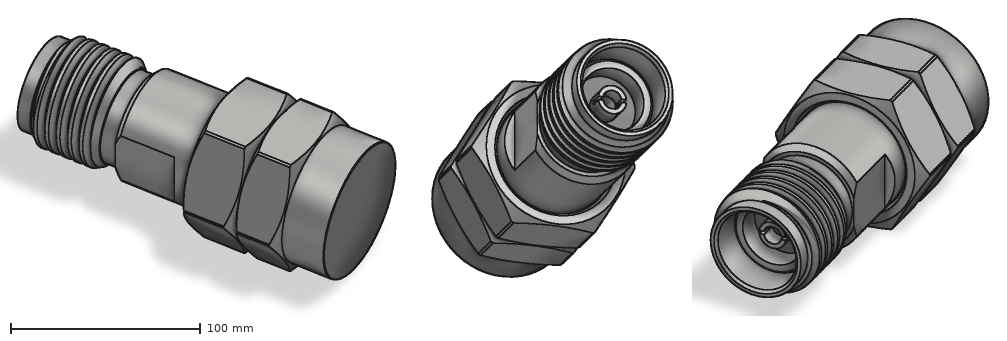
import cadquery as cq
import math


total_length = 192.3
thread_start = 7.7
thread_end = 50
body_start = 59.6
nut_start = 107.3
nut_split = 139.5
nut_end = 167.0

socket_radius = 27
neck_radius = 26.5
thread_radius = 31.5
body_radius = 32.1
sleeve_radius = 39.0

body_chamfer = 3.3
sleeve_chamfer = 0.4

pitch = 7.0
groove_depth = 4.0
groove_half_angle = math.radians(30)
groove_overcut = 1.2
helix_start = 1.3
groove_turns = 7.5
helix_length = groove_turns * pitch

flat_distance = 27.5
flat_end = 95.2
flat_runout_length = 2.7
flat_runout_angle = math.radians(60)

across_flats = 80.0
corner_radius = 45.8
nut_face_radius = 39.0
nut_chamfer_angle = math.radians(60)

clearance_radius = 32.5
clearance_mouth_radius = 34.2
clearance_depth = 2.9

mouth_radius = 24.8
bore_radius = 23.3
mouth_chamfer = 1.5
bore_depth = 19.2
step_chamfer = 1.5
recess_radius = 17.7
recess_depth = 13.5
floor_position = bore_depth + recess_depth

contact_radius = 7.9
contact_hole_radius = 5.2
contact_hole_depth = 9.6
contact_tip_half_angle = math.radians(59)
slot_width = 2
slot_depth = 7.7


def revolve_about_x(points):
    """Turn a closed (x, radius) outline about the X axis."""
    return cq.Workplane("XY").polyline(points).close().revolve(360, (0, 0, 0), (1, 0, 0))


def cylinder(start, end, radius):
    """Cylinder on the X axis between two stations."""
    return cq.Workplane("YZ", origin=(start, 0, 0)).circle(radius).extrude(end - start)


def make_thread():
    """Grooved rod trimmed to a collar with 45 degree ends."""
    envelope = revolve_about_x([
        (thread_start, 0),
        (thread_start, socket_radius),
        (thread_start + thread_radius - socket_radius, thread_radius),
        (thread_end - thread_radius + neck_radius, thread_radius),
        (thread_end, neck_radius),
        (thread_end, 0),
    ])
    root_radius = thread_radius - groove_depth
    outer_radius = thread_radius + groove_overcut
    half_mouth = (groove_depth + groove_overcut) * math.tan(groove_half_angle)
    helix = cq.Wire.makeHelix(
        pitch, helix_length, root_radius, cq.Vector(helix_start, 0, 0), cq.Vector(1, 0, 0)
    )
    start_point = helix.startPoint()
    radial = cq.Vector(0, start_point.y, start_point.z).normalized()
    profile_plane = cq.Plane(
        origin=(helix_start, 0, 0), xDir=(1, 0, 0), normal=cq.Vector(1, 0, 0).cross(radial).toTuple()
    )
    groove = (
        cq.Workplane(profile_plane)
        .polyline([(0, root_radius), (half_mouth, outer_radius), (-half_mouth, outer_radius)])
        .close()
        .sweep(cq.Workplane(helix), isFrenet=True)
    )
    rod = cylinder(0, body_start, thread_radius).cut(groove)
    return rod.intersect(envelope)


def make_body():
    """Turned body with a chamfered shoulder and two opposite wrench flats."""
    body = cylinder(body_start, nut_split, body_radius).faces("<X").chamfer(body_chamfer)
    runout_rise = flat_runout_length * math.tan(flat_runout_angle)
    for side in (1, -1):
        flat = (
            cq.Workplane("XY", origin=(0, 0, -body_radius))
            .polyline([
                (body_start, side * flat_distance),
                (flat_end, side * flat_distance),
                (flat_end + flat_runout_length, side * (flat_distance + runout_rise)),
                (body_start, side * (flat_distance + runout_rise)),
            ])
            .close()
            .extrude(2 * body_radius)
        )
        body = body.cut(flat)
    return body


def make_hex(start, end):
    """Hexagon with rounded corners and conical chamfers on both ends."""
    across_corners = across_flats / math.cos(math.pi / 6)
    prism = cq.Workplane("YZ", origin=(start, 0, 0)).polygon(6, across_corners).extrude(end - start)
    chamfer_length = (corner_radius - nut_face_radius) / math.tan(nut_chamfer_angle)
    envelope = revolve_about_x([
        (start, 0),
        (start, nut_face_radius),
        (start + chamfer_length, corner_radius),
        (end - chamfer_length, corner_radius),
        (end, nut_face_radius),
        (end, 0),
    ])
    return prism.intersect(envelope)


def make_nut():
    """Two hexagons and a plain sleeve, with a clearance groove in the front face."""
    sleeve = cylinder(nut_split, total_length, sleeve_radius).faces(">X").chamfer(sleeve_chamfer)
    nut = make_hex(nut_start, nut_split).union(make_hex(nut_split, nut_end)).union(sleeve)
    bevel = clearance_mouth_radius - clearance_radius
    clearance = revolve_about_x([
        (nut_start, 0),
        (nut_start, clearance_mouth_radius),
        (nut_start + bevel, clearance_radius),
        (nut_start + clearance_depth, clearance_radius),
        (nut_start + clearance_depth, 0),
    ])
    return nut.cut(clearance)


def make_socket_cavity():
    """Chamfered bore ending in a bevelled step, with a smaller recess behind it."""
    return revolve_about_x([
        (0, 0),
        (0, mouth_radius),
        (mouth_chamfer, bore_radius),
        (bore_depth + step_chamfer, bore_radius),
        (bore_depth, bore_radius - step_chamfer),
        (bore_depth, recess_radius),
        (floor_position, recess_radius),
        (floor_position, 0),
    ])


def make_contact():
    """Centre contact rising from the recess floor to the plane of the step."""
    return cylinder(bore_depth, floor_position, contact_radius)


def make_contact_cut():
    """Drilled hole with a conical bottom, and a slot across the contact along Y."""
    hole_end = bore_depth + contact_hole_depth
    hole = revolve_about_x([
        (bore_depth, 0),
        (bore_depth, contact_hole_radius),
        (hole_end, contact_hole_radius),
        (hole_end + contact_hole_radius / math.tan(contact_tip_half_angle), 0),
    ])
    slot = (
        cq.Workplane("YZ", origin=(bore_depth, 0, 0))
        .rect(2 * contact_radius, slot_width)
        .extrude(slot_depth)
        .intersect(cylinder(bore_depth, bore_depth + slot_depth, contact_radius))
    )
    return hole.union(slot)


socket = cylinder(0, thread_end, socket_radius)
neck = cylinder(thread_end, body_start, neck_radius)

result = socket.union(make_thread()).union(neck)
result = result.union(make_nut()).union(make_body())
result = result.cut(make_socket_cavity()).union(make_contact()).cut(make_contact_cut())